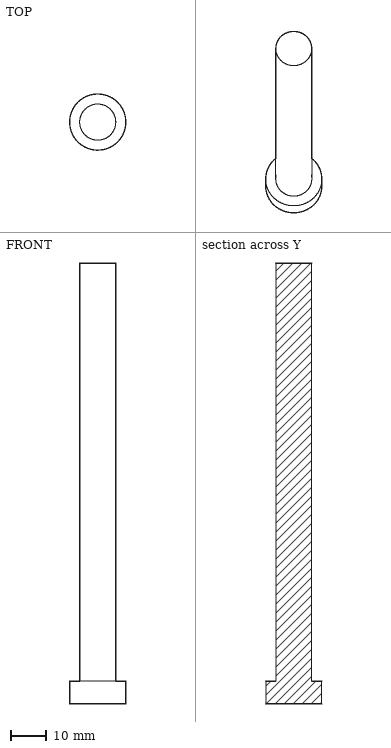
import cadquery as cq

total_length = 125.0
head_diameter = 16.0
head_height = 6.5
shank_diameter = 10.2

head = cq.Workplane("XY").circle(head_diameter / 2).extrude(head_height)

shank = cq.Workplane("XY").circle(shank_diameter / 2).extrude(total_length)

result = head.union(shank)